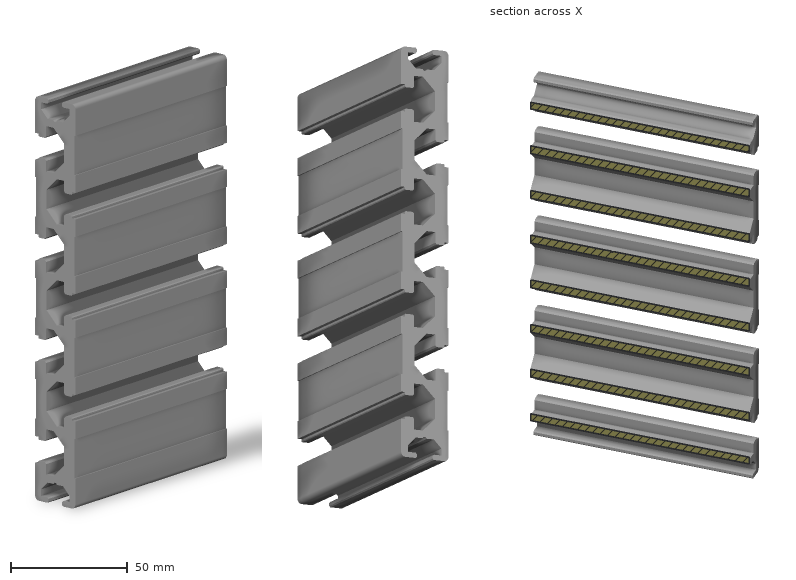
import cadquery as cq

width = 22.5
length = 100.0
height = 180.0
corner_radius = 2.0

pitch = width
slot_count = 7
mouth_half = 6.0
mouth_depth = 1.8
neck_half = 4.7
neck_outer_chamfer = 0.4
neck_inner_chamfer = 0.7
lip_inner_x = 5.0
slot_floor_x = 4.9
cavity_half = 10.0
cavity_flat_end_x = 0.9

relief_half = 8.8
relief_depth = 0.5

end_mouth_half = 3.8
end_lip_thickness = 2.3
end_lip_chamfer = 0.5
end_cavity_half = 8.0
end_wall_depth = 5.4
end_floor_depth = 9.0
groove_half = 1.0
groove_bottom_half = 0.4
groove_depth = 0.7

half_width = width / 2
half_height = height / 2


def extrude_outline(points):
    """Extrude a closed XZ outline symmetrically along Y."""
    return cq.Workplane("XZ").polyline(points).close().extrude(length / 2, both=True)


def side_slot():
    """Slot opening towards -X, centred on z = 0."""
    step_x = -half_width + mouth_depth
    floor_half = cavity_half - (slot_floor_x + cavity_flat_end_x)
    upper_half = [
        (-half_width, mouth_half),
        (step_x, mouth_half),
        (step_x, neck_half + neck_outer_chamfer),
        (step_x + neck_outer_chamfer, neck_half),
        (-lip_inner_x - neck_inner_chamfer, neck_half),
        (-lip_inner_x, neck_half + neck_inner_chamfer),
        (-lip_inner_x, cavity_half),
        (-cavity_flat_end_x, cavity_half),
        (slot_floor_x, floor_half),
    ]
    lower_half = [(x, -z) for x, z in reversed(upper_half)]
    return extrude_outline(upper_half + lower_half)


def face_relief():
    """Shallow recess in the +X face, centred on z = 0."""
    return (
        cq.Workplane("XY")
        .box(relief_depth, length, 2 * relief_half)
        .translate((half_width - relief_depth / 2, 0, 0))
    )


def end_slot():
    """T-slot in the +Z end, with a shallow tapered groove along its floor."""
    lip_z = half_height - end_lip_thickness
    floor_z = half_height - end_floor_depth
    floor_half = end_cavity_half - (end_floor_depth - end_wall_depth)
    right_half = [
        (end_mouth_half + end_lip_chamfer, half_height),
        (end_mouth_half, half_height - end_lip_chamfer),
        (end_mouth_half, lip_z + end_lip_chamfer),
        (end_mouth_half + end_lip_chamfer, lip_z),
        (end_cavity_half, lip_z),
        (end_cavity_half, half_height - end_wall_depth),
        (floor_half, floor_z),
        (groove_half, floor_z),
        (groove_bottom_half, floor_z - groove_depth),
    ]
    left_half = [(-x, z) for x, z in reversed(right_half)]
    return extrude_outline(right_half + left_half)


body = cq.Workplane("XY").box(width, length, height).edges("|Y").fillet(corner_radius)

top_slot = end_slot()
body = body.cut(top_slot).cut(top_slot.mirror("XY"))

slot_with_relief = side_slot().union(face_relief())
for index in range(slot_count):
    cutter = slot_with_relief
    if index % 2 == 1:
        cutter = cutter.mirror("YZ")
    slot_z = half_height - pitch * (index + 1)
    body = body.cut(cutter.translate((0, 0, slot_z)))

result = body